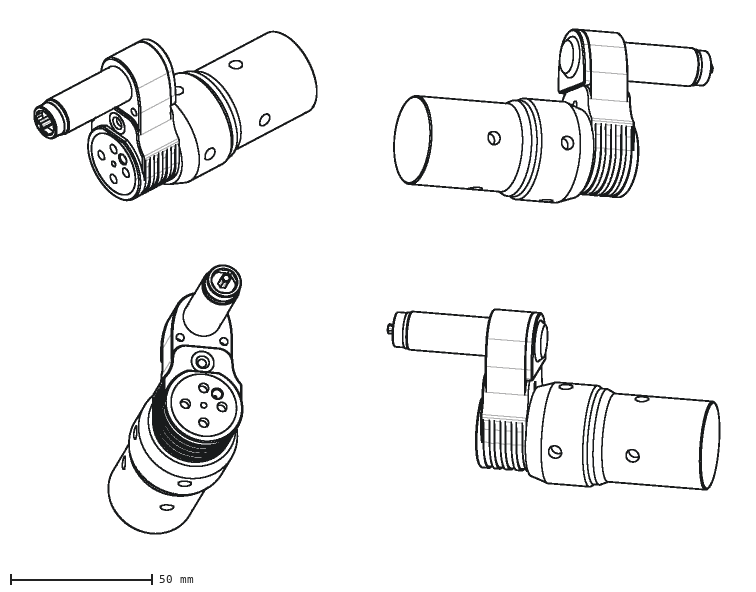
import cadquery as cq
import math


TUBE_RADIUS = 31.5 / 2
STEP_RADIUS = 17.1
COLLAR_RADIUS = 18.0
COLLAR_FRONT_RADIUS = 15.9
SLEEVE_LENGTH = 63.6
REAR_CHAMFER = 0.5
TUBE_START = 27.7
STEP_REAR = 24.8
STEP_FRONT = 22.7
COLLAR_REAR = 21.3
COLLAR_FRONT = 6.2
SPANNER_HOLE_RADIUS = 2.3
SPANNER_HOLE_DEPTH = 4.7
SPANNER_HOLE_PLACES = [(38.8, TUBE_RADIUS), (11.2, COLLAR_RADIUS)]

ARM_TOP = 44.6
ARM_TOP_RADIUS = 20.0 / 2
ROD_HEIGHT = ARM_TOP - ARM_TOP_RADIUS
ARM_HALF_WIDTH = 11.1
ARM_SIDE_TOP = 27.8
ARM_SIDE_BOTTOM = 18.0
ARM_REAR = -1.0
ARM_FRONT = -15.7
EDGE_CHAMFER = 0.5
SEAM_CHAMFER = 0.2

PLATE_REAR = 1.5
PLATE_BOTTOM = 23.3
PLATE_CORNER_RADIUS = 1.2
CAP_REAR = 3.3
CAP_BASE_RADIUS = 7.4
CAP_TOP_RADIUS = 5.8

HEAD_RADIUS = 14.3
SHOULDER_LOW = 9.6
SHOULDER_HIGH = 10.5
SHOULDER_HALF_WIDTH = 13.9
PAD_TOP = 23.4
PAD_CORNER_RADIUS = 5.3
PAD_FRONT = -16.7
DISC_FRONT = -18.5
DISC_FLAT_HEIGHT = 13.1
FACE_RADIUS = 11.9
FACE_RECESS = 0.1

GROOVE_COUNT = 4
GROOVE_WIDTH = 2.2
GROOVE_PITCH = 4.0
GROOVE_FIRST = -2.6
GROOVE_DEPTH = 0.6
GROOVE_TOP = 8.5
GROOVE_STRAIGHT_TOP = 4.9

SOCKET_HOLE_RADIUS = 1.8
SOCKET_HOLE_CIRCLE = 6.7
SOCKET_HOLE_DEPTH = 2.6
CENTER_HOLE_RADIUS = 1.0
SCREW_WELL_OFFSET = 4.9
SCREW_WELL_RADIUS = 2.1
SCREW_WELL_NECK_RADIUS = 1.8
SCREW_WELL_TIP_RADIUS = 0.6
SCREW_WELL_DEPTH = 3.5
DOWEL_HOLE_X = 8.0
DOWEL_HOLE_Z = 26.5
DOWEL_HOLE_RADIUS = 1.4
DOWEL_HOLE_DEPTH = 4.7
BOLT_HOLE_Z = 17.3
BOLT_HOLE_RADIUS = 1.5
BOLT_SINK_RADIUS = 2.5
BOLT_SINK_DEPTH = 1.2
BOLT_SPOT_RADIUS = 4.1
BOLT_SPOT_DEPTH = 0.1

ROD_RADIUS = 13.7 / 2
ROD_NOSE_RADIUS = 6.2
ROD_TAPER_RADIUS = 6.4
ROD_BODY_END = -44.9
ROD_TAPER_END = -46.7
ROD_END = -50.5
ROD_STEP = 0.2
NOSE_CHAMFER = 0.4
HEX_APOTHEM = 4.3
HEX_CORNER_RADIUS = 4.7
HEX_SINK_RADIUS = 4.8
HEX_DEPTH = 2.8
PIN_TIP = -53.4
PIN_RADIUS = 1.8
PIN_ROOT_RADIUS = 1.4
PIN_TEETH = 6
PIN_CHAMFER = 0.4

TRIM_SIZE = 117


def cross_section(y, x=0, z=0):
    """Workplane across the part at y; X right, Z up, extrusions run towards -Y."""
    return cq.Workplane("XZ", origin=(x, y, z))


def cylinder(radius, rear, front, x=0, z=0):
    return cross_section(rear, x, z).circle(radius).extrude(rear - front)


def cone(rear_radius, front_radius, rear, front, x=0, z=0):
    """Truncated cone along Y from the rear radius to the front radius."""
    start = cq.Vector(x, rear, z)
    forward = cq.Vector(0, -1, 0)
    solid = cq.Solid.makeCone(rear_radius, front_radius, rear - front, start, forward)
    return cq.Workplane(obj=solid)


def block_above(height):
    return cq.Workplane("XY", origin=(0, 0, height)).rect(TRIM_SIZE, TRIM_SIZE).extrude(TRIM_SIZE)


def make_sleeve():
    profile = [
        (0, 0),
        (COLLAR_FRONT_RADIUS, 0),
        (COLLAR_RADIUS, COLLAR_FRONT),
        (COLLAR_RADIUS, COLLAR_REAR),
        (STEP_RADIUS, STEP_FRONT),
        (STEP_RADIUS, STEP_REAR),
        (TUBE_RADIUS, TUBE_START),
        (TUBE_RADIUS, SLEEVE_LENGTH - REAR_CHAMFER),
        (TUBE_RADIUS - REAR_CHAMFER, SLEEVE_LENGTH),
        (0, SLEEVE_LENGTH),
    ]
    sleeve = cq.Workplane("XY").polyline(profile).close().revolve(360, (0, 0), (0, 1))
    for y, surface_radius in SPANNER_HOLE_PLACES:
        hole = (
            cq.Workplane("XY", origin=(0, y, surface_radius - SPANNER_HOLE_DEPTH))
            .circle(SPANNER_HOLE_RADIUS)
            .extrude(2 * SPANNER_HOLE_DEPTH)
        )
        for quarter in range(4):
            sleeve = sleeve.cut(hole.rotate((0, 0, 0), (0, 1, 0), 90 * quarter))
    return sleeve


def start_half_outline():
    """Right half of the head outline, from its lowest point up to the straight arm side."""
    diagonal = HEAD_RADIUS * math.sqrt(0.5)
    return (
        cross_section(0)
        .moveTo(0, -HEAD_RADIUS)
        .threePointArc((diagonal, -diagonal), (HEAD_RADIUS, 0))
        .lineTo(HEAD_RADIUS, SHOULDER_LOW)
        .tangentArcPoint((SHOULDER_HALF_WIDTH, SHOULDER_HIGH), relative=False)
        .tangentArcPoint((ARM_HALF_WIDTH, ARM_SIDE_BOTTOM), relative=False)
    )


def make_arm_block(rear, front):
    """Full arm outline; the side arcs are tangent to both the straight sides and the top arc."""
    width_gap = ARM_HALF_WIDTH - ARM_TOP_RADIUS
    height_gap = ROD_HEIGHT - ARM_SIDE_TOP
    side_radius = ARM_TOP_RADIUS + (width_gap**2 + height_gap**2) / (2 * width_gap)
    side_center_x = ARM_HALF_WIDTH - side_radius
    angle = math.atan2(height_gap, -side_center_x)
    top_start = (ARM_TOP_RADIUS * math.cos(angle), ROD_HEIGHT + ARM_TOP_RADIUS * math.sin(angle))
    outline = (
        start_half_outline()
        .lineTo(ARM_HALF_WIDTH, ARM_SIDE_TOP)
        .tangentArcPoint(top_start, relative=False)
        .tangentArcPoint((0, ARM_TOP), relative=False)
        .mirrorY()
    )
    return outline.extrude(rear - front).translate((0, rear, 0))


def make_pad_block(rear, front):
    """Lower head outline with a rounded top, thicker than the arm."""
    outline = (
        start_half_outline()
        .lineTo(ARM_HALF_WIDTH, PAD_TOP - PAD_CORNER_RADIUS)
        .tangentArcPoint((ARM_HALF_WIDTH - PAD_CORNER_RADIUS, PAD_TOP), relative=False)
        .lineTo(0, PAD_TOP)
        .mirrorY()
    )
    return outline.extrude(rear - front).translate((0, rear, 0))


def make_back_plate():
    """Upper part of the arm outline behind the arm, with the rod's domed cap."""
    plate = make_arm_block(PLATE_REAR, ARM_REAR).intersect(block_above(PLATE_BOTTOM))
    plate = plate.faces("<Z").edges("|Y").fillet(PLATE_CORNER_RADIUS)
    plate = plate.faces(">Y").chamfer(EDGE_CHAMFER)
    cap = cone(CAP_TOP_RADIUS, CAP_BASE_RADIUS, CAP_REAR, PLATE_REAR, z=ROD_HEIGHT)
    return plate.union(cap)


def make_disc():
    """Round front flange with a flat on top and a shallow recessed face."""
    disc = cylinder(HEAD_RADIUS, PAD_FRONT + EDGE_CHAMFER, DISC_FRONT)
    recess = cylinder(FACE_RADIUS, DISC_FRONT + FACE_RECESS, DISC_FRONT)
    return disc.cut(block_above(DISC_FLAT_HEIGHT)).faces("<Y").chamfer(EDGE_CHAMFER).cut(recess)


def make_groove(center_y):
    """Grip groove round the underside, running out to the surface at both upper ends."""
    rear = center_y + GROOVE_WIDTH / 2
    floor_radius = HEAD_RADIUS - GROOVE_DEPTH
    diagonal = floor_radius * math.sqrt(0.5)
    floor = (
        cross_section(rear)
        .moveTo(0, -floor_radius)
        .threePointArc((diagonal, -diagonal), (floor_radius, 0))
        .lineTo(floor_radius, GROOVE_STRAIGHT_TOP)
        .tangentArcPoint((HEAD_RADIUS, GROOVE_TOP), relative=False)
        .lineTo(0, GROOVE_TOP)
        .mirrorY()
        .extrude(GROOVE_WIDTH)
    )
    height = GROOVE_TOP + 2 * HEAD_RADIUS
    surround = (
        cross_section(rear, z=GROOVE_TOP - height / 2).rect(4 * HEAD_RADIUS, height).extrude(GROOVE_WIDTH)
    )
    return surround.cut(floor)


def make_disc_holes():
    """Four socket holes, the pointed centre hole and the screw well in the disc."""
    face = DISC_FRONT + FACE_RECESS
    holes = cone(0, CENTER_HOLE_RADIUS, face + CENTER_HOLE_RADIUS, face)
    for quarter in range(4):
        angle = math.radians(90 * quarter)
        x = SOCKET_HOLE_CIRCLE * math.cos(angle)
        z = SOCKET_HOLE_CIRCLE * math.sin(angle)
        holes = holes.union(cylinder(SOCKET_HOLE_RADIUS, face + SOCKET_HOLE_DEPTH, face, x, z))
    spot = (SCREW_WELL_OFFSET, SCREW_WELL_OFFSET)
    neck = face + SCREW_WELL_RADIUS - SCREW_WELL_NECK_RADIUS
    well_rim = cone(SCREW_WELL_NECK_RADIUS, SCREW_WELL_RADIUS, neck, face, *spot)
    well = cone(SCREW_WELL_TIP_RADIUS, SCREW_WELL_NECK_RADIUS, face + SCREW_WELL_DEPTH, neck, *spot)
    return holes.union(well_rim).union(well)


def make_arm_holes():
    """Countersunk bolt hole through the lower head and two blind dowel holes in the arm."""
    bolt = cylinder(BOLT_HOLE_RADIUS, 0, PAD_FRONT, z=BOLT_HOLE_Z)
    sink = cone(BOLT_HOLE_RADIUS, BOLT_SINK_RADIUS, PAD_FRONT + BOLT_SINK_DEPTH, PAD_FRONT, z=BOLT_HOLE_Z)
    spot_face = cylinder(BOLT_SPOT_RADIUS, PAD_FRONT + BOLT_SPOT_DEPTH, PAD_FRONT, z=BOLT_HOLE_Z)
    holes = bolt.union(sink).union(spot_face)
    for x in (-DOWEL_HOLE_X, DOWEL_HOLE_X):
        dowel = cylinder(DOWEL_HOLE_RADIUS, ARM_FRONT + DOWEL_HOLE_DEPTH, ARM_FRONT, x, DOWEL_HOLE_Z)
        holes = holes.union(dowel)
    return holes


def make_rod():
    """Rod standing out of the arm, with a hexagon socket in its end."""
    step_radius = ROD_RADIUS - ROD_STEP
    step_end = ROD_BODY_END - 2 * ROD_STEP
    profile = [
        (0, ARM_FRONT),
        (ROD_RADIUS, ARM_FRONT),
        (ROD_RADIUS, ROD_BODY_END),
        (step_radius, step_end),
        (ROD_TAPER_RADIUS, ROD_TAPER_END),
        (ROD_NOSE_RADIUS, ROD_TAPER_END),
        (ROD_NOSE_RADIUS, ROD_END + NOSE_CHAMFER),
        (ROD_NOSE_RADIUS - NOSE_CHAMFER, ROD_END),
        (0, ROD_END),
    ]
    rod_plane = cq.Workplane("XY", origin=(0, 0, ROD_HEIGHT))
    rod = rod_plane.polyline(profile).close().revolve(360, (0, 0), (0, 1))

    socket_floor = ROD_END + HEX_DEPTH
    hex_across_corners = 2 * HEX_APOTHEM / math.cos(math.pi / 6)
    socket = cross_section(socket_floor, z=ROD_HEIGHT).polygon(6, hex_across_corners).extrude(HEX_DEPTH)
    socket = socket.intersect(cylinder(HEX_CORNER_RADIUS, socket_floor, ROD_END, z=ROD_HEIGHT))
    sink_depth = HEX_SINK_RADIUS - HEX_APOTHEM
    sink = cone(HEX_APOTHEM, HEX_SINK_RADIUS, ROD_END + sink_depth, ROD_END, z=ROD_HEIGHT)
    return rod.cut(socket).cut(sink)


def make_splined_pin():
    """Toothed drive pin standing on the socket floor."""
    points = []
    for tooth in range(PIN_TEETH):
        for radius, half_step in ((PIN_RADIUS, 0), (PIN_ROOT_RADIUS, 1)):
            angle = math.pi * (2 * tooth + half_step) / PIN_TEETH
            points.append((radius * math.cos(angle), radius * math.sin(angle)))
    rear = ROD_END + HEX_DEPTH
    pin = cross_section(rear, z=ROD_HEIGHT).polyline(points).close().extrude(rear - PIN_TIP)
    return pin.faces("<Y").chamfer(PIN_CHAMFER)


def make_head():
    arm = make_arm_block(ARM_REAR, ARM_FRONT)
    arm = arm.faces("<Y").chamfer(EDGE_CHAMFER).faces(">Y").chamfer(SEAM_CHAMFER)
    pad = make_pad_block(0, PAD_FRONT).faces("<Y").chamfer(EDGE_CHAMFER)
    head = arm.union(pad).union(make_back_plate()).union(make_disc())
    for index in range(GROOVE_COUNT):
        head = head.cut(make_groove(GROOVE_FIRST - index * GROOVE_PITCH))
    head = head.cut(make_disc_holes()).cut(make_arm_holes())
    return head.union(make_rod()).union(make_splined_pin())


sleeve = make_sleeve()
head = make_head()
result = cq.Compound.makeCompound([sleeve.val(), head.val()])